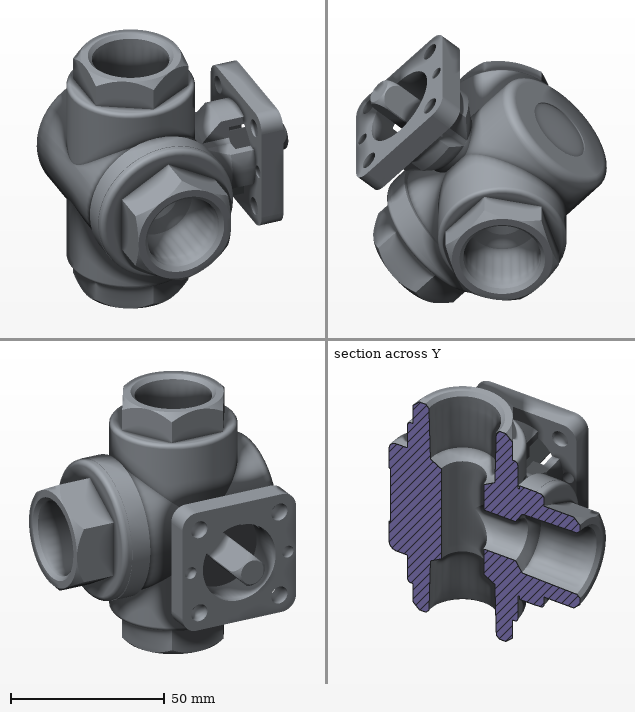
import cadquery as cq
import math


barrel_dia = 44.8
barrel_left = -28.0
barrel_round = 3.0
recess_dia = 22.0
recess_depth = 0.4

collar_left = 21.4
collar_dia = 47.5
collar_right = 28.1
cap_dia = 47.2
cap_right = 31.0
cap_round = 1.65

total_height = 86.6
port_end = total_height / 2
branch_dia = 42.0
branch_end = 33.3
branch_round = 1.4

hex_flats = 32.9
hex_corners = hex_flats / math.cos(math.pi / 6)
side_port_end = 44.7

mouth_dia = 28.0
thread_dia = 25.4
thread_end_dia = 24.25
thread_length = 20.8
through_dia = 16.0
mouth_chamfer = (mouth_dia - thread_dia) / 2
seat_angle = 118
seat_depth = (thread_end_dia - through_dia) / 2 / math.tan(math.radians(seat_angle / 2))

neck_dia = 20.5
neck_end = 22.7
cone_end = 29.3
plate_bottom = 37.5
plate_top = 45.2
bracket_dia = 32
leg_width = 13
leg_corner_chamfer = 1.4
plate_size = 42.1
plate_corner_radius = 5.2
cavity_dia = 27.0
cavity_floor = 32.1

corner_hole_dia = 6.0
corner_hole_circle = 42.0
side_hole_dia = 4.2
side_hole_circle = 36.0

stem_flats = 9.0
stem_dia = 12.3
stem_end = 54.2
stem_tip_length = 4.5

PORT_UP = cq.Plane((0, 0, 0), xDir=(1, 0, 0), normal=(0, 0, 1))
PORT_DOWN = cq.Plane((0, 0, 0), xDir=(1, 0, 0), normal=(0, 0, -1))
PORT_SIDE = cq.Plane((0, 0, 0), xDir=(0, 0, 1), normal=(1, 0, 0))
MOUNT = cq.Plane((0, 0, 0), xDir=(1, 0, 0), normal=(0, 1, 0))
PORTS = [(PORT_UP, port_end), (PORT_DOWN, port_end), (PORT_SIDE, side_port_end)]


def cylinder(plane, dia, start, end):
    """Cylinder on a frame's local Z axis from start to end."""
    return cq.Workplane(plane).workplane(offset=start).circle(dia / 2).extrude(end - start)


def turned(plane, profile):
    """Solid turned about a frame's local Z axis from (radius, distance) points."""
    local = cq.Workplane("XZ").polyline(profile).close().revolve(360, (0, 0), (0, 1))
    return cq.Workplane(obj=local.val().moved(cq.Location(plane)))


def hex_end(plane, end):
    """Hexagonal port end with its corners turned off at 45 degrees."""
    hexagon = cq.Workplane(plane).polygon(6, hex_corners).extrude(end)
    turning = turned(plane, [
        (0, 0),
        (hex_flats / 2 + end, 0),
        (hex_flats / 2, end),
        (0, end),
    ])
    return hexagon.intersect(turning)


def port_bore(plane, end):
    """Chamfered, tapered port bore that narrows to the through bore at the centre."""
    thread_start = end - mouth_chamfer
    thread_end = thread_start - thread_length
    return turned(plane, [
        (0, 0),
        (through_dia / 2, 0),
        (through_dia / 2, thread_end - seat_depth),
        (thread_end_dia / 2, thread_end),
        (thread_dia / 2, thread_start),
        (mouth_dia / 2, end),
        (0, end),
    ])


def valve_body():
    """Barrel, end cap, branches and hexagonal ends, all solid."""
    barrel = cylinder(PORT_SIDE, barrel_dia, barrel_left, collar_right)
    barrel = barrel.faces("<X").edges().fillet(barrel_round)
    recess = cylinder(PORT_SIDE, recess_dia, barrel_left, barrel_left + recess_depth)
    collar = cylinder(PORT_SIDE, collar_dia, collar_left, collar_right)
    cap = cylinder(PORT_SIDE, cap_dia, collar_left, cap_right)
    cap = cap.faces(">X").edges().fillet(cap_round)
    branches = cylinder(PORT_UP, branch_dia, -branch_end, branch_end)
    branches = branches.faces("<Z or >Z").edges().fillet(branch_round)
    body = barrel.cut(recess).union(collar).union(cap).union(branches)
    for plane, end in PORTS:
        body = body.union(hex_end(plane, end))
    return body


def bracket():
    """Neck that widens into four legs arranged as a cross."""
    height = plate_bottom - neck_end
    section = cq.Workplane(MOUNT).workplane(offset=neck_end)
    cross = section.rect(bracket_dia, leg_width).extrude(height)
    cross = cross.union(section.rect(leg_width, bracket_dia).extrude(height))
    inner_corners = cq.selectors.BoxSelector(
        (-leg_width, neck_end, -leg_width),
        (leg_width, plate_bottom, leg_width),
    )
    cross = cross.edges("|Y").edges(inner_corners).chamfer(leg_corner_chamfer)
    outside = turned(MOUNT, [
        (0, neck_end),
        (neck_dia / 2, neck_end),
        (bracket_dia / 2, cone_end),
        (bracket_dia / 2, plate_bottom),
        (0, plate_bottom),
    ])
    return cross.intersect(outside).union(cylinder(MOUNT, neck_dia, 0, neck_end))


def mounting_plate():
    """Square plate with rounded corners, four corner holes and a pair of small holes along X."""
    thickness = plate_top - plate_bottom
    face = cq.Workplane(MOUNT).workplane(offset=plate_bottom)
    plate = face.rect(plate_size, plate_size).extrude(thickness)
    plate = plate.edges("|Y").fillet(plate_corner_radius)
    corner_holes = face.polarArray(corner_hole_circle / 2, 45, 360, 4)
    corner_holes = corner_holes.circle(corner_hole_dia / 2).extrude(thickness)
    side_holes = face.polarArray(side_hole_circle / 2, 0, 360, 2)
    side_holes = side_holes.circle(side_hole_dia / 2).extrude(thickness)
    return plate.cut(corner_holes).cut(side_holes)


def stem():
    """Square stem set cornerwise, with clipped corners and a ball-shaped tip."""
    length = stem_end - neck_end
    square = cq.Workplane(MOUNT.rotated((0, 0, 45))).workplane(offset=neck_end)
    square = square.rect(stem_flats, stem_flats).extrude(length)
    ball_radius = stem_dia / 2
    ball_center = stem_end - stem_tip_length
    envelope = cylinder(MOUNT, stem_dia, neck_end, ball_center)
    ball = cq.Workplane(MOUNT).workplane(offset=ball_center).sphere(ball_radius)
    return square.intersect(envelope.union(ball))


mount = bracket().union(mounting_plate())
mount = mount.cut(cylinder(MOUNT, cavity_dia, cavity_floor, plate_top)).union(stem())
result = valve_body().union(mount)
for port_plane, port_length in PORTS:
    result = result.cut(port_bore(port_plane, port_length))